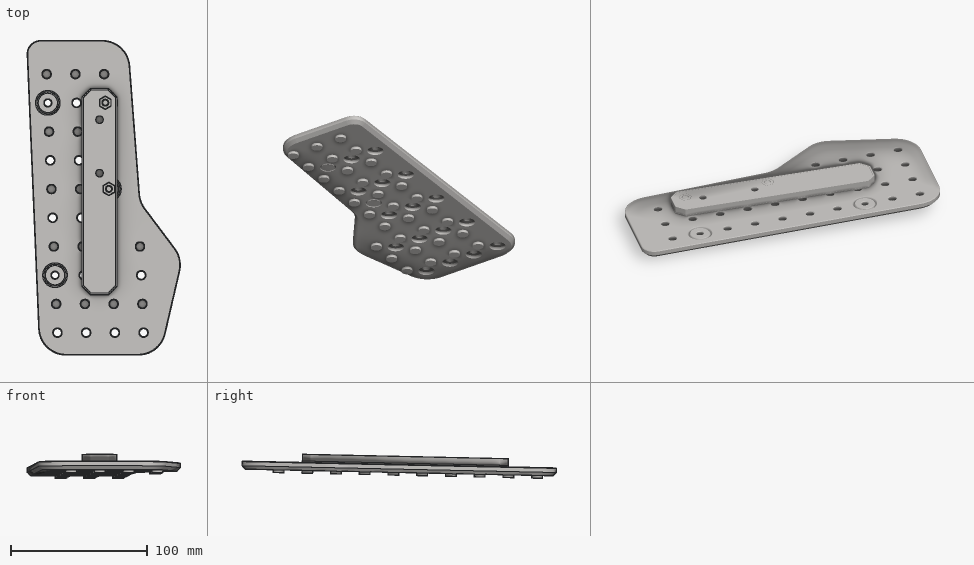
import cadquery as cq
import math

TILT_ANGLE = 1.24

PLATE_LENGTH = 230.0
PLATE_THICKNESS = 3.5
PLATE_CHAMFER = 0.5
PAD_THICKNESS = 2.5
PAD_EDGE_INSET = 2.5

TOP_LEFT_RADIUS = 10.0
CORNER_RADIUS = 20.0

HOLE_ROWS = 10
ROW_SPAN = 189.0
FIRST_HOLE_X = 14.5
FIRST_HOLE_Y = 205.5
ROW_SHIFT = 0.87
HOLE_DIAMETER = 6.0
PAD_HOLE_DIAMETER = 12.0
FIRST_WIDE_ROW = 6

STUD_DIAMETER = 8.0
STUD_HEIGHT = 2.0
FIRST_WIDE_STUD_ROW = 7

GROOVE_MID_RADIUS = 8.0
GROOVE_WIDTH = 2.0

BAR_WIDTH = 25.8
BAR_LENGTH = 151.0
BAR_THICKNESS = 6.0
BAR_LEFT = 40.3
BAR_BOTTOM = 44.0
BAR_CORNER_CUT = 6.2
BAR_EDGE_RADIUS = 1.5
RIM_WIDTH = 1.2
RECESS_DEPTH = 0.12
FOOT_HEIGHT = 1.0
FOOT_STEP = 0.12
BAR_HOLE_DIAMETER = 5.5
BAR_HOLE_TOP = 172.0
BAR_HOLE_SPACING = 39.0

BOLT_DIAMETER = 5.0
BOLT_HEAD_DIAMETER = 10.0
BOLT_TIP_DIAMETER = 4.0
NUT_ACROSS_FLATS = 8.0
POCKET_ACROSS_FLATS = 8.5
NUT_HEIGHT = 4.0

PITCH = ROW_SPAN / (HOLE_ROWS - 1)
PAD_TOP = -PLATE_THICKNESS
PAD_BOTTOM = PAD_TOP - PAD_THICKNESS
BAR_CENTER_X = BAR_LEFT + BAR_WIDTH / 2
BAR_CENTER_Y = BAR_BOTTOM + BAR_LENGTH / 2
BAR_TOP = BAR_THICKNESS - RECESS_DEPTH
NUT_BOTTOM = BAR_TOP - NUT_HEIGHT


def grid_point(row, column):
    return (FIRST_HOLE_X + column * PITCH + row * ROW_SHIFT, FIRST_HOLE_Y - row * PITCH)


def columns_in(row, first_wide_row):
    return 4 if row >= first_wide_row else 3


HOLE_CELLS = [(row, column) for row in range(HOLE_ROWS) for column in range(columns_in(row, FIRST_WIDE_ROW))]
BOLT_CELLS = [(1, 2), (4, 2)]
SPARE_CELLS = [(1, 0), (7, 0)]
MOUNT_CELLS = BOLT_CELLS + SPARE_CELLS

bolt_points = [grid_point(*cell) for cell in BOLT_CELLS]
mount_points = [grid_point(*cell) for cell in MOUNT_CELLS]
plain_points = [grid_point(*cell) for cell in HOLE_CELLS if cell not in MOUNT_CELLS]

pad_hole_points = [grid_point(*cell) for cell in HOLE_CELLS if cell[0] % 2 == 1 or cell in MOUNT_CELLS]

stud_points = [
    grid_point(row - 0.5, column + 0.5)
    for row in range(HOLE_ROWS)
    for column in range(columns_in(row, FIRST_WIDE_STUD_ROW))
]


def rounded_corner(before, corner, after, radius):
    """Start, middle and end of the arc that rounds one corner of an outline."""
    corner = cq.Vector(*corner)
    to_before = (cq.Vector(*before) - corner).normalized()
    to_after = (cq.Vector(*after) - corner).normalized()
    half_angle = to_before.getAngle(to_after) / 2
    setback = radius / math.tan(half_angle)
    bisector = (to_before + to_after).normalized()
    middle = corner + bisector * (radius / math.sin(half_angle) - radius)
    return corner + to_before * setback, middle, corner + to_after * setback


def pedal_outline(z):
    """Closed outline of the pedal at height z, anticlockwise from the bottom left."""
    corners = [
        ((9.5, 0), CORNER_RADIUS),
        ((97.5, 0), CORNER_RADIUS),
        ((113.9, 70.4), CORNER_RADIUS),
        ((82.8, 111.8), CORNER_RADIUS),
        ((73.8, PLATE_LENGTH), CORNER_RADIUS),
        ((-0.2, PLATE_LENGTH), TOP_LEFT_RADIUS),
    ]
    points = [point for point, _ in corners]
    arcs = [
        rounded_corner(points[i - 1], points[i], points[(i + 1) % len(points)], corners[i][1])
        for i in range(len(points))
    ]
    outline = cq.Workplane("XY").workplane(offset=z).moveTo(arcs[0][2].x, arcs[0][2].y)
    for start, middle, end in arcs[1:] + arcs[:1]:
        outline = outline.lineTo(start.x, start.y).threePointArc((middle.x, middle.y), (end.x, end.y))
    return outline.close()


def cylinders(points, diameter, bottom, top):
    return cq.Workplane("XY").workplane(offset=bottom).pushPoints(points).circle(diameter / 2).extrude(top - bottom)


def octagon_prism(inset, bottom, top):
    """Bar-shaped block with cut corners, its sides moved inwards by inset."""
    cut = BAR_CORNER_CUT - inset * (2 - math.sqrt(2))
    block = cq.Workplane("XY").workplane(offset=bottom).center(BAR_CENTER_X, BAR_CENTER_Y)
    block = block.rect(BAR_WIDTH - 2 * inset, BAR_LENGTH - 2 * inset).extrude(top - bottom)
    return block.edges("|Z").chamfer(cut)


def hexagon_prism(point, across_flats, bottom, top):
    """Hexagonal block with two of its corners pointing along Y."""
    corner_diameter = across_flats / math.cos(math.pi / 6)
    block = cq.Workplane("XY").workplane(offset=bottom).polygon(6, corner_diameter).extrude(top - bottom)
    return block.rotate((0, 0, 0), (0, 0, 1), 30).translate((point[0], point[1], 0))


def groove_ring():
    """Ring of V section, point down, that leaves the groove around a mounting hole."""
    half_width = GROOVE_WIDTH / 2
    section = cq.Workplane("XZ").moveTo(GROOVE_MID_RADIUS - half_width, 0)
    section = section.lineTo(GROOVE_MID_RADIUS + half_width, 0).lineTo(GROOVE_MID_RADIUS, -half_width).close()
    return section.revolve(360, (0, 0, 0), (0, 1, 0))


def make_plate():
    plate = pedal_outline(0).extrude(-PLATE_THICKNESS)
    plate = plate.cut(cylinders(plain_points, HOLE_DIAMETER, PAD_TOP, 0))
    plate = plate.cut(cylinders(mount_points, BOLT_DIAMETER, PAD_TOP, 0))
    plate = plate.faces(">Z").edges().chamfer(PLATE_CHAMFER)
    for x, y in mount_points:
        plate = plate.cut(groove_ring().translate((x, y, 0)))
    return plate


def make_pad():
    taper = math.degrees(math.atan(PAD_EDGE_INSET / PAD_THICKNESS))
    pad = pedal_outline(PAD_TOP).extrude(-PAD_THICKNESS, taper=taper)
    pad = pad.cut(cylinders(pad_hole_points, PAD_HOLE_DIAMETER, PAD_BOTTOM, PAD_TOP))
    return pad.union(cylinders(stud_points, STUD_DIAMETER, PAD_BOTTOM - STUD_HEIGHT, PAD_BOTTOM))


def make_bar():
    foot = octagon_prism(0, 0, FOOT_HEIGHT)
    body = octagon_prism(FOOT_STEP, FOOT_HEIGHT, BAR_THICKNESS)
    bar = foot.edges("|Z").fillet(BAR_EDGE_RADIUS).union(body.edges("|Z").fillet(BAR_EDGE_RADIUS))
    bar = bar.cut(octagon_prism(RIM_WIDTH, BAR_TOP, BAR_THICKNESS))
    upper_hole = (BAR_CENTER_X, BAR_HOLE_TOP)
    lower_hole = (BAR_CENTER_X, BAR_HOLE_TOP - BAR_HOLE_SPACING)
    bar = bar.cut(cylinders([upper_hole, lower_hole], BAR_HOLE_DIAMETER, 0, BAR_THICKNESS))
    bar = bar.cut(cylinders(bolt_points, BOLT_DIAMETER, 0, BAR_THICKNESS))
    for point in bolt_points:
        bar = bar.cut(hexagon_prism(point, POCKET_ACROSS_FLATS, NUT_BOTTOM, BAR_TOP))
    return bar


def make_bolt(point):
    head = cylinders([point], BOLT_HEAD_DIAMETER, PAD_BOTTOM, PAD_TOP)
    shank = cylinders([point], BOLT_DIAMETER, PAD_TOP, BAR_TOP)
    shank = shank.faces(">Z").chamfer((BOLT_DIAMETER - BOLT_TIP_DIAMETER) / 2)
    return head.union(shank)


def make_nut(point):
    nut = hexagon_prism(point, NUT_ACROSS_FLATS, NUT_BOTTOM, BAR_TOP)
    return nut.cut(cylinders([point], BOLT_DIAMETER, NUT_BOTTOM, BAR_TOP))


plate = make_plate()
pad = make_pad()
bar = make_bar()
bolts = [make_bolt(point).val() for point in bolt_points]
nuts = [make_nut(point).val() for point in bolt_points]

flat_pedal = cq.Compound.makeCompound([plate.val(), pad.val(), bar.val(), *bolts, *nuts])
result = flat_pedal.rotate(cq.Vector(0, 0, 0), cq.Vector(1, 0, 0), -TILT_ANGLE)